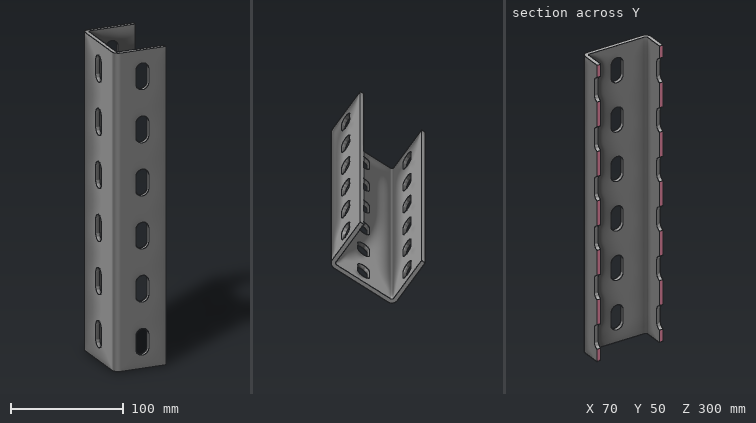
import cadquery as cq

WIDTH = 70.0
DEPTH = 50.0
LENGTH = 300.0
THICKNESS = 4.0
OUTER_BEND_RADIUS = 6.0

SLOT_LENGTH = 25.0
SLOT_WIDTH = 12.5
SLOT_COUNT = 6
FLANGE_SLOT_Y = 27.0

inner_width = WIDTH - 2 * THICKNESS
inner_bend_radius = OUTER_BEND_RADIUS - THICKNESS
slot_pitch = LENGTH / SLOT_COUNT
first_slot_height = slot_pitch / 2
slot_heights = [first_slot_height + i * slot_pitch for i in range(SLOT_COUNT)]


def make_rounded_block(width, front_y, bend_radius):
    """Full-height block reaching DEPTH back from front_y, with its two front edges rounded."""
    return (
        cq.Workplane("XY")
        .center(0, front_y + DEPTH / 2)
        .rect(width, DEPTH)
        .extrude(LENGTH)
        .edges("|Z and <Y")
        .fillet(bend_radius)
    )


def make_channel():
    """U-shaped channel standing along Z, web on the -Y side, open toward +Y."""
    outside = make_rounded_block(WIDTH, 0, OUTER_BEND_RADIUS)
    inside = make_rounded_block(inner_width, THICKNESS, inner_bend_radius)
    return outside.cut(inside)


def make_slot_row(plane, offset, reach):
    """Row of upright slot cutters along Z, extending by reach to both sides of the plane."""
    return (
        cq.Workplane(plane)
        .pushPoints([(offset, height) for height in slot_heights])
        .slot2D(SLOT_LENGTH, SLOT_WIDTH, angle=90)
        .extrude(reach, both=True)
    )


web_slots = make_slot_row("XZ", offset=0, reach=DEPTH / 2)
flange_slots = make_slot_row("YZ", offset=FLANGE_SLOT_Y, reach=WIDTH)

result = make_channel().cut(web_slots).cut(flange_slots)